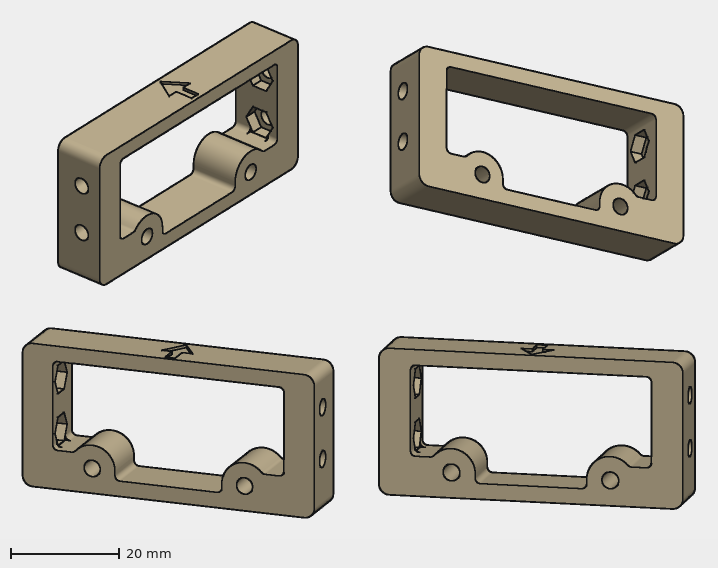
import cadquery as cq
import math

depth = 10.0
length = 57.8
height = 27.8
outer_radius = 2.0
inner_radius = 1.0

side_wall = 6.0
rail = 3.0
ledge_height = 7.6
window_half = length / 2 - side_wall
window_top = height / 2 - rail
window_floor = -height / 2 + rail
ledge_z = -height / 2 + ledge_height

hole_diameter = 3.2
boss_radius = 4.5
boss_y = 15.1
boss_z = -height / 2 + 4.85

side_hole_x = 0.7
upper_hole_z = 6.55
side_hole_pitch = 10.05
side_hole_heights = (upper_hole_z, upper_hole_z - side_hole_pitch)
nut_corner_diameter = 6.35
nut_depth = 2.4

arrow_depth = 0.5
arrow_tip_x = -4.3
arrow_neck_x = 0.4
arrow_tail_x = 4.1
arrow_head_half = 3.05
arrow_shaft_half = 1.0


def x_block(y_min, y_max, z_min, z_max):
    """Rectangular block spanning the full depth of the frame."""
    return cq.Workplane("XY").box(depth, y_max - y_min, z_max - z_min).translate(
        (0, (y_min + y_max) / 2, (z_min + z_max) / 2)
    )


def x_cylinder(y, z, radius):
    """Cylinder spanning the full depth of the frame."""
    return cq.Workplane("YZ").center(y, z).circle(radius).extrude(depth / 2, both=True)


def make_window():
    """Window with raised ledges at both ends, less the two bosses."""
    upper = x_block(-window_half, window_half, ledge_z, window_top)
    lower = x_block(-boss_y, boss_y, window_floor, ledge_z)
    opening = upper.union(lower)
    for side in (-1, 1):
        boss = x_cylinder(side * boss_y, boss_z, boss_radius)
        base = x_block(
            side * boss_y - boss_radius, side * boss_y + boss_radius, -height / 2, boss_z
        )
        opening = opening.cut(boss).cut(base)
    tangent_y = boss_y - boss_radius
    corners = opening.edges("|X").filter(
        lambda edge: abs(edge.Center().z - boss_z) > inner_radius / 2
        or abs(abs(edge.Center().y) - tangent_y) > inner_radius / 2
    )
    return corners.fillet(inner_radius)


def make_side_fastening(side, z):
    """Screw hole and hexagonal nut pocket for one side wall."""
    inner_face = cq.Plane(
        origin=(side_hole_x, side * window_half, z), xDir=(1, 0, 0), normal=(0, side, 0)
    )
    hole = cq.Workplane(inner_face).circle(hole_diameter / 2).extrude(side_wall)
    pocket = cq.Workplane(inner_face).polygon(6, nut_corner_diameter).extrude(nut_depth)
    return hole.union(pocket)


def make_fillet_relief(side):
    """Gap in the ledge fillet, as wide as the lower nut pocket at the top of the fillet."""
    half_width = nut_corner_diameter / 4 + inner_radius * math.tan(math.radians(30))
    return (
        cq.Workplane("XY")
        .box(2 * half_width, inner_radius, inner_radius)
        .translate(
            (side_hole_x, side * (window_half - inner_radius / 2), ledge_z + inner_radius / 2)
        )
    )


def make_arrow():
    """Arrow engraved in the top face."""
    return (
        cq.Workplane("XY", origin=(0, 0, height / 2))
        .moveTo(arrow_tip_x, 0)
        .lineTo(arrow_neck_x, -arrow_head_half)
        .lineTo(arrow_neck_x, -arrow_shaft_half)
        .lineTo(arrow_tail_x, -arrow_shaft_half)
        .lineTo(arrow_tail_x, arrow_shaft_half)
        .lineTo(arrow_neck_x, arrow_shaft_half)
        .lineTo(arrow_neck_x, arrow_head_half)
        .close()
        .extrude(-arrow_depth)
    )


frame = cq.Workplane("XY").box(depth, length, height).edges("|X").fillet(outer_radius)
window = make_window()
for wall_side in (-1, 1):
    window = window.union(make_fillet_relief(wall_side))
frame = frame.cut(window).cut(make_arrow())
for wall_side in (-1, 1):
    frame = frame.cut(x_cylinder(wall_side * boss_y, boss_z, hole_diameter / 2))
    for hole_z in side_hole_heights:
        frame = frame.cut(make_side_fastening(wall_side, hole_z))

result = frame